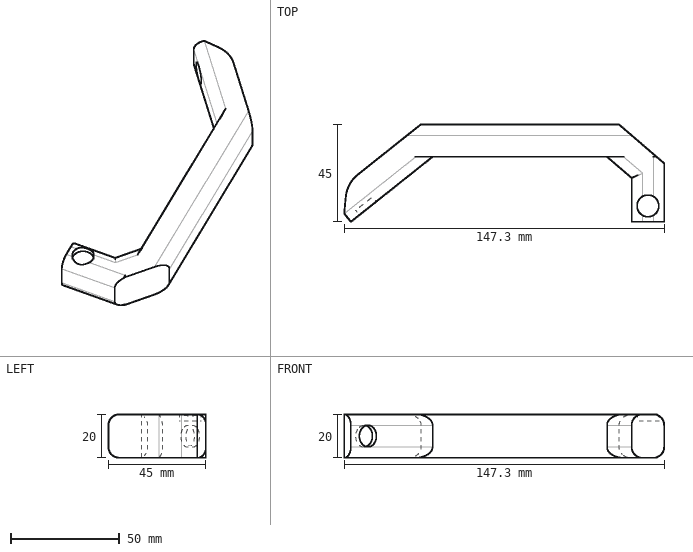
import cadquery as cq
import math

length = 147.3
depth = 45.0
height = 20.0
bar_thickness = 15.0
edge_radius = 5.0

bar_front_y = depth - bar_thickness
back_left_x = 35.4
back_right_x = 126.4

arm_angle = math.radians(38.5)
arm_tip_x = 3.1
tip_face_length = 5.0
tip_side_slope = math.radians(84.6)
tip_corner_radius = 15.0

leg_width = 15.0
leg_inner_x = length - leg_width
leg_outer_y = 27.0
leg_inner_y = 20.2
diagonal_slope = (depth - leg_outer_y) / (length - back_right_x)

socket_diameter = 10.0
socket_depth = 3.0
arm_socket_distance = 10.0
leg_socket_y = 7.4


def left_outer_x(y):
    """X of the outer left flank at the given Y."""
    return back_left_x - (depth - y) / math.tan(arm_angle)


def right_outer_x(y):
    """X of the outer right diagonal at the given Y."""
    return back_right_x + (depth - y) / diagonal_slope


def prism(points):
    """Extrude a closed outline over the full height, centred on Z = 0."""
    return cq.Workplane("XY").polyline(points).close().extrude(height / 2, both=True)


def round_long_edges(body, start, end):
    """Round the top and bottom edges above and below the line start-end."""
    middle_x = (start[0] + end[0]) / 2
    middle_y = (start[1] + end[1]) / 2
    for z in (-height / 2, height / 2):
        selector = cq.selectors.NearestToPointSelector((middle_x, middle_y, z))
        body = body.edges(selector).fillet(edge_radius)
    return body


def make_bar():
    back_left = (back_left_x, depth)
    back_right = (back_right_x, depth)
    front_right = (right_outer_x(bar_front_y), bar_front_y)
    front_left = (left_outer_x(bar_front_y), bar_front_y)
    body = prism([back_left, back_right, front_right, front_left])
    return round_long_edges(body, back_left, back_right)


def make_left_arm():
    tip = (arm_tip_x, 0)
    tip_side = (
        arm_tip_x - tip_face_length * math.sin(arm_angle),
        tip_face_length * math.cos(arm_angle),
    )
    corner_y = (
        tip_side[1] / math.tan(tip_side_slope) - tip_side[0] + left_outer_x(0)
    ) / (1 / math.tan(tip_side_slope) - 1 / math.tan(arm_angle))
    corner = (left_outer_x(corner_y), corner_y)
    outer_top = (left_outer_x(bar_front_y), bar_front_y)
    inner_top = (arm_tip_x + bar_front_y / math.tan(arm_angle), bar_front_y)
    body = prism([tip, tip_side, corner, outer_top, inner_top])
    corner_edge = cq.selectors.NearestToPointSelector((*corner, 0))
    body = body.edges(corner_edge).fillet(tip_corner_radius)
    return round_long_edges(body, tip, inner_top)


def make_right_leg():
    inner_top = (leg_inner_x - (bar_front_y - leg_inner_y) / diagonal_slope, bar_front_y)
    inner_bend = (leg_inner_x, leg_inner_y)
    inner_end = (leg_inner_x, 0)
    outer_end = (length, 0)
    outer_bend = (length, leg_outer_y)
    outer_top = (right_outer_x(bar_front_y), bar_front_y)
    body = prism([inner_top, inner_bend, inner_end, outer_end, outer_bend, outer_top])
    body = round_long_edges(body, outer_end, outer_bend)

    inner_lines = ((inner_top, inner_bend), (inner_bend, inner_end))
    inner_edges = cq.Workplane("XY")
    for start, end in inner_lines:
        for z in (-height / 2, height / 2):
            middle = ((start[0] + end[0]) / 2, (start[1] + end[1]) / 2, z)
            selector = cq.selectors.NearestToPointSelector(middle)
            inner_edges = inner_edges.add(body.edges(selector))
    return cq.Workplane(body.val().fillet(edge_radius, inner_edges.vals()))


def make_socket(mouth, direction):
    """Cylinder sunk from the centre of the mouth along the given direction."""
    return cq.Workplane(
        cq.Solid.makeCylinder(
            socket_diameter / 2, socket_depth, cq.Vector(*mouth), cq.Vector(*direction)
        )
    )


arm_socket = make_socket(
    (
        arm_tip_x + arm_socket_distance * math.cos(arm_angle),
        arm_socket_distance * math.sin(arm_angle),
        0,
    ),
    (-math.sin(arm_angle), math.cos(arm_angle), 0),
)
leg_socket = make_socket(
    (leg_inner_x + leg_width / 2, leg_socket_y, height / 2),
    (0, 0, -1),
)

result = make_bar().union(make_left_arm()).union(make_right_leg())
result = result.cut(arm_socket).cut(leg_socket)